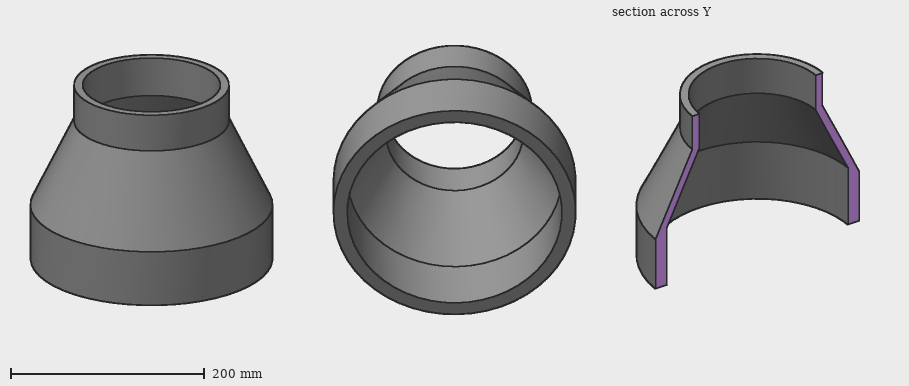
import cadquery as cq
import math

large_diameter = 250.0
small_diameter = 160.0
large_wall = 14.2
small_wall = 9.0
large_spigot_length = 60.0
cone_length = 94.0
small_spigot_length = 40.0

large_radius = large_diameter / 2
small_radius = small_diameter / 2
large_bore_radius = large_radius - large_wall
small_bore_radius = small_radius - small_wall

cone_bottom = large_spigot_length
cone_top = cone_bottom + cone_length
total_height = cone_top + small_spigot_length

cone_angle = math.atan2(large_radius - small_radius, cone_length)
bore_cone_top = cone_top - small_wall * math.tan(cone_angle / 2)
bore_cone_length = (large_bore_radius - small_bore_radius) / math.tan(cone_angle)
bore_cone_bottom = bore_cone_top - bore_cone_length


def stepped_cone(bottom_radius, top_radius, lower_height, upper_height):
    """Revolve a lower cylinder, a cone between the two heights and an upper cylinder about Z."""
    return (
        cq.Workplane("XZ")
        .moveTo(0, 0)
        .lineTo(bottom_radius, 0)
        .lineTo(bottom_radius, lower_height)
        .lineTo(top_radius, upper_height)
        .lineTo(top_radius, total_height)
        .lineTo(0, total_height)
        .close()
        .revolve(360, (0, 0, 0), (0, 1, 0))
    )


outer_body = stepped_cone(large_radius, small_radius, cone_bottom, cone_top)
bore = stepped_cone(large_bore_radius, small_bore_radius, bore_cone_bottom, bore_cone_top)

result = outer_body.cut(bore)